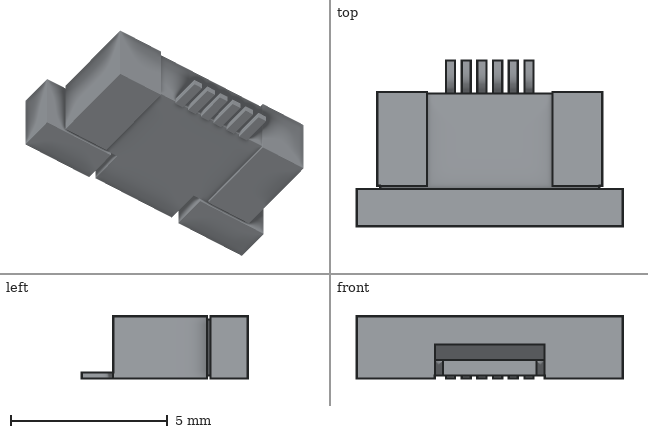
import cadquery as cq

total_depth = 5.3
height = 2.0
clearance = 0.1

actuator_width = 8.5
actuator_depth = 1.2
entry_width = 3.5
entry_height = 1.1

housing_width = 7.0
housing_back = 4.25

tongue_width = 3.0
tongue_top = 0.6
slot_depth = 2.0

anchor_span = 7.2
anchor_width = 1.6
anchor_depth = 3.0
anchor_front = actuator_depth + clearance

lead_count = 6
lead_pitch = 0.5
lead_width = 0.3
lead_thickness = 0.2


def block(width, front, back, bottom, top, center_x=0.0):
    """Box centred on center_x between the given Y and Z limits."""
    return (
        cq.Workplane("XY")
        .box(width, back - front, top - bottom, centered=(True, False, False))
        .translate((center_x, front, bottom))
    )


def make_actuator():
    """Front bar with the cable entry cut through it from below."""
    bar = block(actuator_width, 0, actuator_depth, 0, height)
    return bar.cut(block(entry_width, 0, actuator_depth, 0, entry_height))


def make_housing():
    """Main block with the cable slot and the tongue under it, flush with the actuator front."""
    body = block(housing_width, actuator_depth, housing_back, clearance, height - clearance)
    slot_end = actuator_depth + slot_depth
    slot = block(entry_width, actuator_depth, slot_end, tongue_top, entry_height)
    tongue = block(tongue_width, 0, slot_end, clearance, tongue_top)
    return body.cut(slot).union(tongue)


result = make_actuator().union(make_housing())

anchor_x = (anchor_span - anchor_width) / 2
for side in (-1, 1):
    anchor = block(anchor_width, anchor_front, anchor_front + anchor_depth, 0, height, side * anchor_x)
    result = result.union(anchor)

for index in range(lead_count):
    lead_x = (index - (lead_count - 1) / 2) * lead_pitch
    result = result.union(block(lead_width, housing_back, total_depth, 0, lead_thickness, lead_x))

result = result.translate((0, -total_depth / 2, 0))